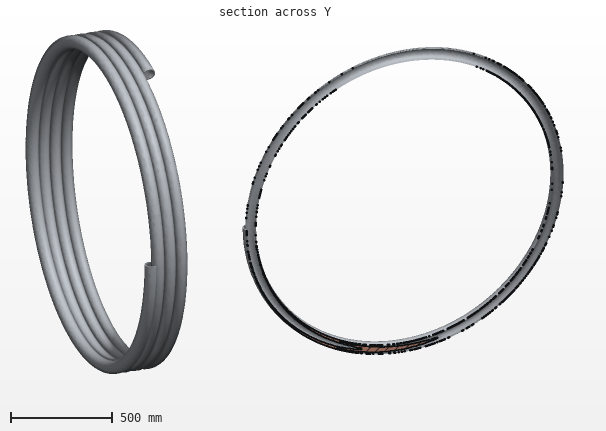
import cadquery as cq
import math

outer_diameter = 1680.0
overall_depth = 270.0
tube_diameter = 65.0
wall_thickness = 5.0
pitch = 60.0
end_offset = 259.0
turns_to_top = 3.75

tube_radius = tube_diameter / 2
bore_radius = tube_radius - wall_thickness
coil_radius = outer_diameter / 2 - tube_radius
turns = turns_to_top + math.asin(end_offset / coil_radius) / (2 * math.pi)

lead_in_turns = 2 * (turns - (overall_depth - tube_diameter) / pitch)
stretch_count = 8
points_per_stretch = 12


def advance(turn):
    """Distance along Y after the given number of turns."""
    if turn < lead_in_turns:
        return pitch * turn**2 / (2 * lead_in_turns)
    return pitch * (turn - lead_in_turns / 2)


def coil_point(turn):
    """Tube centre: starts at +X and runs down, round through -X and over the top."""
    angle = 2 * math.pi * turn
    return (
        coil_radius * math.cos(angle),
        tube_radius + advance(turn),
        -coil_radius * math.sin(angle),
    )


def coil_direction(turn):
    """Tangent of the tube centre line."""
    angle = 2 * math.pi * turn
    rise_per_turn = pitch * min(turn / lead_in_turns, 1)
    return cq.Vector(
        -math.sin(angle),
        rise_per_turn / (2 * math.pi * coil_radius),
        -math.cos(angle),
    )


def coil_stretch(start_turn, end_turn):
    """Smooth curve along one stretch of the coil."""
    step = (end_turn - start_turn) / points_per_stretch
    points = [cq.Vector(*coil_point(start_turn + step * i)) for i in range(points_per_stretch + 1)]
    tangents = [coil_direction(start_turn), coil_direction(end_turn)]
    stretch_length = 0.1191 * math.pi * coil_radius * (end_turn - start_turn)
    lengths = [stretch_length * i / points_per_stretch for i in range(points_per_stretch + 1)]
    return cq.Edge.makeSpline(points, tangents=tangents, parameters=lengths, scale=False)


stretch_turns = turns / stretch_count
centre_line = cq.Wire.assembleEdges(
    [coil_stretch(stretch_turns * i, stretch_turns * (i + 1)) for i in range(stretch_count)]
)

section_plane = cq.Plane(origin=coil_point(0), xDir=(1, 0, 0), normal=(0, 0, -1))


def swept_rod(radius):
    """Solid round rod along the centre line."""
    section = cq.Workplane(section_plane).circle(radius)
    return section.sweep(cq.Workplane(obj=centre_line)).val()


def skin_and_rims(rod):
    """Split a rod's faces into its curved skin and the rims of its two flat ends."""
    skin = [face for face in rod.Faces() if face.geomType() != "PLANE"]
    rims = [face.outerWire() for face in rod.Faces() if face.geomType() == "PLANE"]
    return skin, rims


outer_skin, outer_rims = skin_and_rims(swept_rod(tube_radius))
bore_skin, bore_rims = skin_and_rims(swept_rod(bore_radius))
end_rings = [
    cq.Face.makeFromWires(outer_rim, [bore_rim])
    for outer_rim, bore_rim in zip(outer_rims, bore_rims)
]
tube_shell = cq.Shell.makeShell(outer_skin + bore_skin + end_rings)
tube = cq.Solid.makeSolid(tube_shell).fix()

result = cq.Workplane(obj=tube)